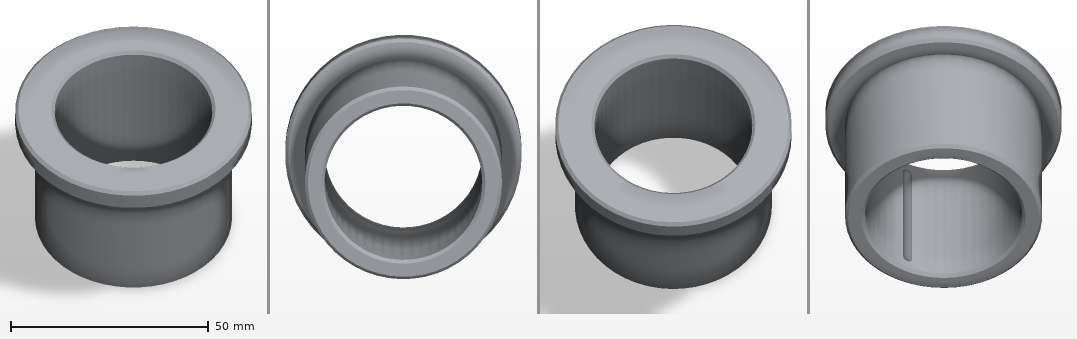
import cadquery as cq

flange_diameter = 60.0
body_diameter = 50.0
bore_diameter = 40.0
total_height = 40.0
flange_thickness = 6.0
chamfer_size = 0.8

groove_radius = 1.25
groove_depth = 1.0
groove_tip_margin = 3.0
groove_axis_x = bore_diameter / 2 + groove_depth - groove_radius
groove_bottom_z = groove_tip_margin + groove_radius
groove_top_z = total_height - groove_tip_margin - groove_radius


def make_body():
    """Sleeve with a flange at the top, both concentric with Z."""
    sleeve = cq.Workplane("XY").circle(body_diameter / 2).extrude(total_height)
    flange = (
        cq.Workplane("XY", origin=(0, 0, total_height - flange_thickness))
        .circle(flange_diameter / 2)
        .extrude(flange_thickness)
    )
    return sleeve.union(flange)


def cut_bore(body):
    """Through bore along the axis."""
    return body.faces(">Z").workplane().circle(bore_diameter / 2).cutThruAll()


def chamfer_rims(body):
    """Break the end-face edges and the underside rim of the flange."""
    body = body.faces(">Z or <Z").edges().chamfer(chamfer_size)
    largest_circles = cq.selectors.RadiusNthSelector(-1)
    flange_lower_rim = body.edges("%CIRCLE").edges(largest_circles).edges("<Z")
    return flange_lower_rim.chamfer(chamfer_size)


def make_groove_cutter():
    """Vertical rod with hemispherical ends that sinks partly into the bore wall."""
    cutter = (
        cq.Workplane("XY", origin=(groove_axis_x, 0, groove_bottom_z))
        .circle(groove_radius)
        .extrude(groove_top_z - groove_bottom_z)
    )
    for end_z in (groove_bottom_z, groove_top_z):
        end_ball = cq.Workplane("XY", origin=(groove_axis_x, 0, end_z)).sphere(groove_radius)
        cutter = cutter.union(end_ball)
    return cutter


result = chamfer_rims(cut_bore(make_body())).cut(make_groove_cutter())